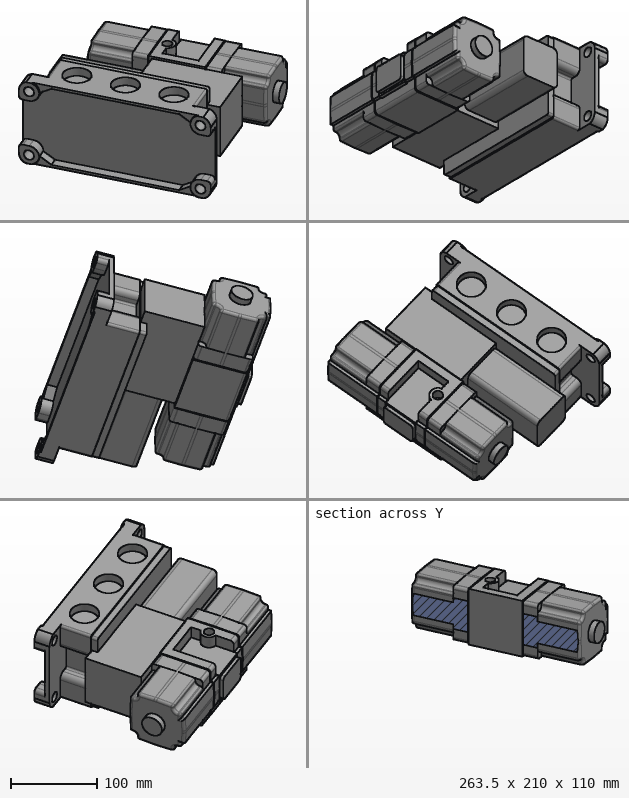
import cadquery as cq

tolerance = 0.1

overall_length = 263.5
flange_length = 237.5
flange_width = 110.0
flange_top = 20.0
floor_y = 14.0
rim_y = 2.0
rim_thickness = 3.5
bolt_x = 106.0
bolt_z = 43.0
bolt_diameter = 12.5
lug_radius = 12.5
lug_corner_radius = 5.0
rim_flare_length = 27.0

base_length = 184.0
base_top = 60.0
base_corner_radius = 3.0
port_pitch = 60.0
port_diameter = 34.0
port_y = 35.0
port_depth = 11.0
end_recess_half_width = 20.0
end_recess_depth = 15.0
end_recess_lip_radius = 7.3
end_recess_floor_radius = 2.5

plate_width = 106.5
plate_top = 68.5
plate_corner_radius = 3.0
plate_x = -0.6

block_left = -4.5
block_right = 107.3
block_bottom = 61.0
block_top = 133.5
block_width = 66.5
box_left = -108.0
box_top = 120.0
box_width = 53.0
box_corner_radius = 6.2

pilot_x = 26.25
pilot_y = 167.2
pilot_half_width = 35.0
pilot_half_height = 33.2
crown = 0.7
seam_half_width = 1.75
crown_half_width = 21.3
ridge_half_width = 18.5
ridge_height = 4.3
pilot_corner_radius = 4.5
collar_corner_radius = 4.0
housing_half_length = 35.0
collar_end = 55.3
cap_end = 110.6
plug_end = overall_length - flange_length / 2 - pilot_x
plug_diameter = 26.0
joint_width = 1.0
joint_depth = 0.6
cap_edge_radius = 3.5
notch_size = 9.5
notch_radius = 5.5
notch_lip_radius = 2.5

pocket_left = 4.2
pocket_right = 49.0
pocket_bottom = 145.0
pocket_floor_z = 20.0
screw_x = 1.9
screw_diameter = 12.0
screw_boss_radius = 10.0
screw_depth = 15.0
pad_left = 4.8
pad_right = 48.0
pad_half_width = 17.0
pad_top = 210.0
pad_corner_radius = 4.0


def is_near(value, target):
    """True if the two positions agree."""
    return abs(value - target) < tolerance


def box(x_range, y_range, z_range):
    """Box spanning the given (low, high) ranges."""
    lows, highs = zip(x_range, y_range, z_range)
    sizes = [high - low for low, high in zip(lows, highs)]
    return cq.Workplane("XY").box(*sizes, centered=False).translate(lows)


def centred_box(length, y_range, width):
    """Box centred on X = 0 and Z = 0."""
    return box((-length / 2, length / 2), y_range, (-width / 2, width / 2))


def cylinder_y(x, z, radius, y_range):
    """Cylinder along Y."""
    low, high = y_range
    return cq.Workplane("XZ", origin=(x, low, z)).circle(radius).extrude(low - high)


def lug(side_x, side_z):
    """Corner lug around one bolt hole, cut off flush with the flange sides."""
    x, z = side_x * bolt_x, side_z * bolt_z
    edge_x = side_x * flange_length / 2
    x_range = sorted((x, edge_x))
    z_range = sorted((z, z - side_z * lug_radius))
    corner = "<X" if side_x < 0 else ">X"
    inner = "<Z" if side_z > 0 else ">Z"
    foot = box(x_range, (0, flange_top), z_range)
    foot = foot.faces(corner).edges(inner).fillet(lug_corner_radius)
    return cylinder_y(x, z, lug_radius, (0, flange_top)).union(foot)


def make_flange():
    half_length, half_width = flange_length / 2, flange_width / 2
    flange = centred_box(flange_length, (floor_y, flange_top), flange_width)
    inner_x = bolt_x - lug_radius
    for side_z in (-1, 1):
        rim_inner = side_z * (half_width - rim_thickness)
        rim = (
            cq.Workplane("XZ", origin=(0, rim_y, 0))
            .moveTo(-bolt_x, side_z * half_width)
            .lineTo(bolt_x, side_z * half_width)
            .lineTo(bolt_x, side_z * bolt_z)
            .lineTo(inner_x, side_z * bolt_z)
            .lineTo(bolt_x - rim_flare_length, rim_inner)
            .lineTo(rim_flare_length - bolt_x, rim_inner)
            .lineTo(-inner_x, side_z * bolt_z)
            .lineTo(-bolt_x, side_z * bolt_z)
            .close()
            .extrude(rim_y - flange_top)
        )
        flange = flange.union(rim)
    for side_x in (-1, 1):
        for side_z in (-1, 1):
            corner = box(
                sorted((side_x * bolt_x, side_x * half_length)),
                (0, flange_top),
                sorted((side_z * bolt_z, side_z * half_width)),
            )
            flange = flange.cut(corner).union(lug(side_x, side_z))
    flange = flange.intersect(centred_box(flange_length, (0, flange_top), flange_width))
    for side_x in (-1, 1):
        for side_z in (-1, 1):
            hole = cylinder_y(side_x * bolt_x, side_z * bolt_z, bolt_diameter / 2, (0, flange_top))
            flange = flange.cut(hole)
    return flange


def make_base():
    base = centred_box(base_length, (flange_top, base_top), flange_width)
    floor_x = base_length / 2 - end_recess_depth
    for side in (-1, 1):
        x_range = sorted((side * floor_x, side * base_length / 2))
        z_range = (-end_recess_half_width, end_recess_half_width)
        base = base.cut(box(x_range, (flange_top, base_top), z_range))
    end_edges = base.edges("|Y")
    lips = end_edges.filter(
        lambda e: is_near(abs(e.Center().x), base_length / 2)
        and is_near(abs(e.Center().z), end_recess_half_width)
    )
    base = lips.fillet(end_recess_lip_radius)
    floor_corners = base.edges("|Y").filter(lambda e: is_near(abs(e.Center().x), floor_x))
    base = floor_corners.fillet(end_recess_floor_radius)
    outer_corners = base.edges("|Y").filter(lambda e: is_near(abs(e.Center().z), flange_width / 2))
    base = outer_corners.fillet(base_corner_radius)
    return base


def cut_ports(sub_base):
    """Blind ports in the +Z side, reaching slightly into the flange."""
    for index in (-1, 0, 1):
        port = (
            cq.Workplane("XY", origin=(index * port_pitch, port_y, flange_width / 2 - port_depth))
            .circle(port_diameter / 2)
            .extrude(port_depth)
        )
        sub_base = sub_base.cut(port)
    return sub_base


def make_plate():
    plate = centred_box(base_length, (base_top, plate_top), plate_width)
    return plate.edges("|Y").fillet(plate_corner_radius).translate((plate_x, 0, 0))


def make_block():
    half_width = block_width / 2
    return box((block_left, block_right), (block_bottom, block_top), (-half_width, half_width))


def make_side_box():
    side_box = box((box_left, block_left), (plate_top, box_top), (-box_width / 2, box_width / 2))
    return side_box.edges("|X").fillet(box_corner_radius)


def pilot_slice(outline, low, high):
    """Straight length of the pilot between two X distances from its centre; outline is in (Y, Z)."""
    plane = cq.Workplane("YZ", origin=(pilot_x + low, pilot_y, 0))
    return plane.polyline(outline).close().extrude(high - low)


def crowned_bar(low, high, slope_y, slope_z):
    """Bar whose sides rise gently to a flat seam strip, starting slope_y or slope_z off centre."""
    half_y, half_z = pilot_half_height, pilot_half_width
    top_right = [
        (half_y, slope_z),
        (half_y, half_z),
        (slope_y, half_z),
        (seam_half_width, half_z + crown),
    ]
    top_left = [
        (-seam_half_width, half_z + crown),
        (-slope_y, half_z),
        (-half_y, half_z),
        (-half_y, slope_z),
        (-half_y - crown, seam_half_width),
    ]
    upper = top_right + top_left
    lower = [(y, -z) for y, z in reversed(upper)]
    return pilot_slice(upper + lower, low, high)


def flat_bar(low, high, inset=0.0):
    """Flat-sided bar with rounded +Y corners, inset from the pilot outline."""
    half_y = pilot_half_height - inset
    half_z = pilot_half_width + crown - inset
    outline = [(half_y, half_z), (-half_y, half_z), (-half_y, -half_z), (half_y, -half_z)]
    bar = pilot_slice(outline, low, high)
    return bar.edges("|X and >Y").fillet(pilot_corner_radius)


def ridge_bar(low, high, inset=0.0):
    """Raised middle of the +Y side, with the same seam strip along its crest."""
    shoulder = pilot_half_height + ridge_height - inset
    half_width = ridge_half_width - inset
    right = [(0, half_width), (shoulder, half_width), (shoulder + crown, seam_half_width)]
    left = [(y, -z) for y, z in reversed(right)]
    return pilot_slice(right + left, low, high)


def make_collar(low, high):
    """Collar whose sides slope all the way from the seam strip to the rounded corners."""
    slope_y = pilot_half_height - pilot_corner_radius
    slope_z = pilot_half_width - pilot_corner_radius
    bar = crowned_bar(low, high, slope_y, slope_z)
    corners = bar.edges("|X").filter(
        lambda e: is_near(abs(e.Center().z), pilot_half_width)
        and is_near(abs(e.Center().y - pilot_y), pilot_half_height)
    )
    return corners.fillet(collar_corner_radius).union(ridge_bar(low, high))


def make_cap():
    """Cap on the +X end, with a scalloped notch along each corner."""
    bar = crowned_bar(collar_end, cap_end, crown_half_width, crown_half_width)
    ridge = ridge_bar(collar_end, cap_end)
    for side_y in (-1, 1):
        for side_z in (-1, 1):
            inner_y = pilot_y + side_y * (pilot_half_height - notch_size)
            outer_y = pilot_y + side_y * 2 * pilot_half_height
            inner_z = side_z * (pilot_half_width - notch_size)
            outer_z = side_z * 2 * pilot_half_width
            x_range = (pilot_x + collar_end, pilot_x + cap_end)
            notch = box(x_range, sorted((inner_y, outer_y)), sorted((inner_z, outer_z)))
            inner_face = "<Y" if side_y > 0 else ">Y"
            inner_edge = "<Z" if side_z > 0 else ">Z"
            notch = notch.faces(inner_face).edges(inner_edge).fillet(notch_radius)
            bar = bar.cut(notch)
    lip_z = pilot_half_width - notch_size
    lips = bar.edges("|X").filter(
        lambda e: is_near(abs(e.Center().z), pilot_half_width)
        or (is_near(abs(e.Center().z), lip_z) and is_near(abs(e.Center().y - pilot_y), pilot_half_height))
    )
    cap = lips.fillet(notch_lip_radius).union(ridge)
    return cap.faces(">X").edges().fillet(cap_edge_radius)


def make_pilot_end():
    """Collar, cap and plug on the +X end of the pilot."""
    joint_end = housing_half_length + joint_width
    joint = flat_bar(housing_half_length, joint_end, joint_depth)
    joint = joint.union(ridge_bar(housing_half_length, joint_end, joint_depth))
    collar = make_collar(joint_end, collar_end)
    plug = (
        cq.Workplane("YZ", origin=(pilot_x + cap_end, pilot_y, 0))
        .circle(plug_diameter / 2)
        .extrude(plug_end - cap_end)
    )
    return joint.union(collar).union(make_cap()).union(plug)


def make_housing():
    housing = flat_bar(-housing_half_length, housing_half_length)
    ridge_top = pilot_y + pilot_half_height + ridge_height + crown
    connector_base = box(
        (pocket_left, pocket_right), (pilot_y, ridge_top), (-pocket_floor_z, pocket_floor_z)
    )
    housing = housing.union(ridge_bar(-housing_half_length, housing_half_length)).union(connector_base)
    pocket = box((pocket_left, pocket_right), (pocket_bottom, pad_top), (pocket_floor_z, 2 * pilot_half_width))
    boss = (
        cq.Workplane("XY", origin=(screw_x, pilot_y, 0))
        .circle(screw_boss_radius)
        .extrude(2 * pilot_half_width)
    )
    screw_hole = (
        cq.Workplane("XY", origin=(screw_x, pilot_y, pilot_half_width + crown))
        .circle(screw_diameter / 2)
        .extrude(-screw_depth)
    )
    pad = box((pad_left, pad_right), (pilot_y, pad_top), (-pad_half_width, pad_half_width))
    pad = pad.edges("|Y").fillet(pad_corner_radius)
    return housing.cut(pocket.cut(boss)).cut(screw_hole).union(pad)


pilot_end = make_pilot_end()
opposite_pilot_end = pilot_end.mirror("YZ", (pilot_x, 0, 0))

result = (
    cut_ports(make_flange().union(make_base()))
    .union(make_plate())
    .union(make_block())
    .union(make_side_box())
    .union(make_housing())
    .union(pilot_end)
    .union(opposite_pilot_end)
)